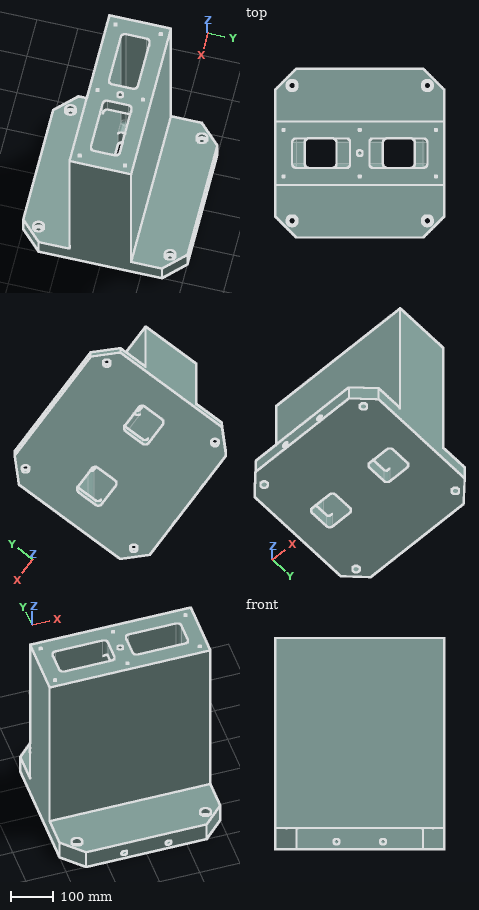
import cadquery as cq
import math

base_size = 400.0
base_height = 50.0
corner_chamfer = 50.0
bolt_spacing = 320.0
bolt_hole_diameter = 18.0
counterbore_diameter = 26.0
counterbore_depth = 20.0

total_height = 500.0
column_depth = 150.0

cavity_length = 320.0
cavity_width = 70.0
cavity_floor = 50.0
corner_radius = 10.0
divider_thickness = 45.0
divider_height = 45.0

floor_opening_length = 75.0
floor_opening_offset = 92.5

top_hole_diameter = 5.0
top_hole_depth = 15.0
top_hole_spacing_x = 360.0
top_hole_spacing_y = 110.0
threaded_hole_diameter = 14.0
center_hole_depth = 30.0
side_hole_spacing = 110.0
side_hole_height = 18.0
side_hole_depth = 30.0
drill_tip_angle = 118.0


def blind_hole(diameter, depth, point, direction):
    """Drilled hole with a conical tip, starting at point and running along direction."""
    radius = diameter / 2
    tip = radius / math.tan(math.radians(drill_tip_angle / 2))
    start = cq.Vector(*point)
    axis = cq.Vector(*direction)
    bore = cq.Solid.makeCylinder(radius, depth, start, axis)
    cone = cq.Solid.makeCone(radius, 0, tip, start + axis * depth, axis)
    return cq.Workplane(bore).union(cq.Workplane(cone))


def make_body():
    base = (
        cq.Workplane("XY")
        .box(base_size, base_size, base_height, centered=(True, True, False))
        .edges("|Z")
        .chamfer(corner_chamfer)
    )
    column = cq.Workplane("XY").box(base_size, column_depth, total_height, centered=(True, True, False))
    return base.union(column)


def make_cavity():
    """Hollow with every edge rounded, opened to the top by two windows beside a bridge."""
    roof = total_height - divider_height
    cavity = (
        cq.Workplane("XY", origin=(0, 0, cavity_floor))
        .box(cavity_length, cavity_width, roof - cavity_floor, centered=(True, True, False))
        .edges()
        .fillet(corner_radius)
    )
    window_length = (cavity_length - divider_thickness) / 2
    window_offset = (cavity_length + divider_thickness) / 4
    windows = (
        cq.Workplane("XY", origin=(0, 0, roof - corner_radius))
        .pushPoints([(-window_offset, 0), (window_offset, 0)])
        .rect(window_length, cavity_width)
        .extrude(divider_height + corner_radius)
        .edges("|Z")
        .fillet(corner_radius)
    )
    return cavity.union(windows)


def make_floor_openings():
    return (
        cq.Workplane("XY")
        .pushPoints([(-floor_opening_offset, 0), (floor_opening_offset, 0)])
        .rect(floor_opening_length, cavity_width)
        .extrude(cavity_floor + corner_radius)
        .edges("|Z")
        .fillet(corner_radius)
    )


result = make_body().cut(make_cavity()).cut(make_floor_openings())

result = (
    result.copyWorkplane(cq.Workplane("XY", origin=(0, 0, base_height)))
    .rect(bolt_spacing, bolt_spacing, forConstruction=True)
    .vertices()
    .cboreHole(bolt_hole_diameter, counterbore_diameter, counterbore_depth)
)

down = (0, 0, -1)
for x in (-top_hole_spacing_x / 2, 0, top_hole_spacing_x / 2):
    for y in (-top_hole_spacing_y / 2, top_hole_spacing_y / 2):
        result = result.cut(blind_hole(top_hole_diameter, top_hole_depth, (x, y, total_height), down))

result = result.cut(blind_hole(threaded_hole_diameter, center_hole_depth, (0, 0, total_height), down))

inward = (0, 1, 0)
for x in (-side_hole_spacing / 2, side_hole_spacing / 2):
    entry = (x, -base_size / 2, side_hole_height)
    result = result.cut(blind_hole(threaded_hole_diameter, side_hole_depth, entry, inward))